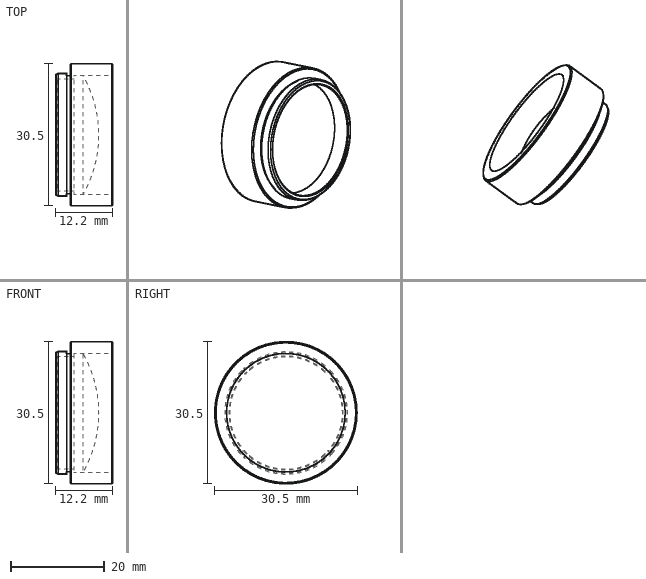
import cadquery as cq
import math


HOUSING_LENGTH = 12.192
BODY_RADIUS = 30.48 / 2
BODY_START = 3.048
BODY_CHAMFER = 0.27

SPIGOT_RADIUS = 26.29 / 2
SPIGOT_LENGTH = 2.286
SPIGOT_CHAMFER_LENGTH = 0.47
SPIGOT_CHAMFER_DEPTH = 0.27
RELIEF_RADIUS = 25.3 / 2

APERTURE_RADIUS = 24.1 / 2
APERTURE_CHAMFER = 0.17
SEAT_X = 3.81

LENS_RADIUS = 25.4 / 2
LENS_THICKNESS = 5.3
CONVEX_RADIUS = 25.8


def make_housing():
    """Revolve the housing half-section, drawn as (X, radius), about the X axis."""
    outside = [
        (0, SPIGOT_RADIUS - SPIGOT_CHAMFER_DEPTH),
        (SPIGOT_CHAMFER_LENGTH, SPIGOT_RADIUS),
        (SPIGOT_LENGTH, SPIGOT_RADIUS),
        (SPIGOT_LENGTH, RELIEF_RADIUS),
        (BODY_START, RELIEF_RADIUS),
        (BODY_START, BODY_RADIUS - BODY_CHAMFER),
        (BODY_START + BODY_CHAMFER, BODY_RADIUS),
        (HOUSING_LENGTH - BODY_CHAMFER, BODY_RADIUS),
        (HOUSING_LENGTH, BODY_RADIUS - BODY_CHAMFER),
    ]
    inside = [
        (HOUSING_LENGTH, LENS_RADIUS),
        (SEAT_X, LENS_RADIUS),
        (SEAT_X, APERTURE_RADIUS),
        (APERTURE_CHAMFER, APERTURE_RADIUS),
        (0, APERTURE_RADIUS + APERTURE_CHAMFER),
    ]
    section = cq.Workplane("XY").polyline(outside + inside).close()
    return section.revolve(360, (0, 0, 0), (1, 0, 0))


def make_lens():
    """Revolve the plano-convex half-section about the X axis."""
    apex_x = SEAT_X + LENS_THICKNESS
    sphere_centre_x = apex_x - CONVEX_RADIUS
    rim_angle = math.asin(LENS_RADIUS / CONVEX_RADIUS)
    rim_x = sphere_centre_x + CONVEX_RADIUS * math.cos(rim_angle)
    arc_middle = (
        sphere_centre_x + CONVEX_RADIUS * math.cos(rim_angle / 2),
        CONVEX_RADIUS * math.sin(rim_angle / 2),
    )
    section = (
        cq.Workplane("XY")
        .moveTo(SEAT_X, 0)
        .lineTo(SEAT_X, LENS_RADIUS)
        .lineTo(rim_x, LENS_RADIUS)
        .threePointArc(arc_middle, (apex_x, 0))
        .close()
    )
    return section.revolve(360, (0, 0, 0), (1, 0, 0))


housing = make_housing()
lens = make_lens()

result = cq.Compound.makeCompound([housing.val(), lens.val()])